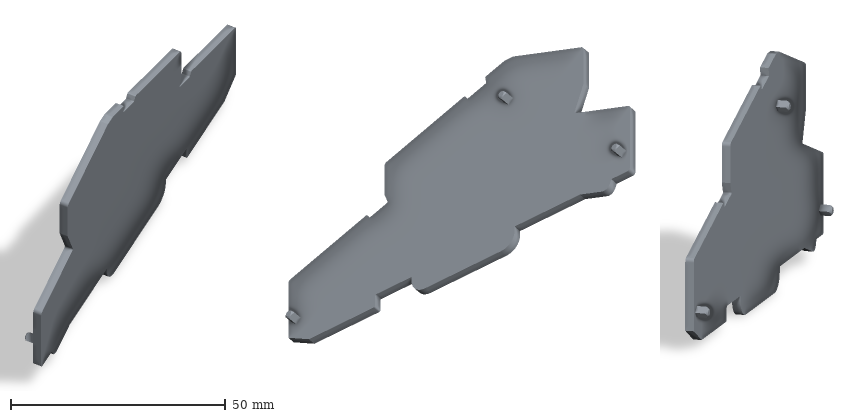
import cadquery as cq
import math

length = 100.6
height = 57.2
plate_thickness = 2.1
pin_length = 3.0

shoulder_slope = math.tan(math.radians(20))
steep_slope = math.tan(math.radians(70))
bevel_slope = math.tan(math.radians(30))

lower_notch_at = 23.1
upper_rear_at = 28.3
upper_notch_at = 51.9
peak_step_at = 57.95
peak_at = 64.9
upper_front_at = 86.9
notch_run = 0.85
notch_drop = 1.25
undercut_run_rear = 1.0
peak_step_run = 0.3
peak_step_rise = 2.0
peak_flat = 2.45

underside = 5.45
rear_block_bottom = 1.8
rear_shoulder = 22.5
front_shoulder = 24.95
upper_rear_shoulder = 43.8
upper_front_bottom = 38.5

rear_block_end = 25.5
rear_bevel_top = 5.3
foot_start = 36.3
foot_end = 66.6
latch_start = 85.8
latch_end = 95.1
latch_depth = 3.3

foot_radius = 4.0
shoulder_radius = 1.0
bottom_radius = 0.8
latch_radius = 1.8
small_radius = 0.4
notch_radius = 0.3

pin_places = [(2.35, 9.5), (64.9, 44.5), (98.2, 11.75)]
pin_side = 1.9
pin_tip_radius = 0.75


def point(distance, z):
    """Plate point (Y, Z) from the distance to the +Y end and the height."""
    return (length / 2 - distance, z)


def notched_slope(start, start_height, notch_at, end):
    """Rising shoulder with a small step down at notch_at; returns its three far corners."""
    crest = start_height + (notch_at - start) * shoulder_slope
    valley_at = notch_at + notch_run
    valley = crest - notch_drop
    end_height = valley + (end - valley_at) * shoulder_slope
    return [point(notch_at, crest), point(valley_at, valley), point(end, end_height)]


def make_plate():
    rear_top = point(0, rear_shoulder)
    undercut_at = upper_rear_at + undercut_run_rear
    lower_steps = notched_slope(0, rear_shoulder, lower_notch_at, undercut_at)
    undercut_top = lower_steps[-1][1] + undercut_run_rear * steep_slope
    upper_rear_top = point(upper_rear_at, upper_rear_shoulder)
    step_foot_at = peak_step_at + peak_step_run
    upper_steps = notched_slope(upper_rear_at, upper_rear_shoulder, upper_notch_at, step_foot_at)
    step_top = point(peak_step_at, upper_steps[-1][1] + peak_step_rise)

    peak_front_at = peak_at + peak_flat / 2
    upper_front_top = height - (upper_front_at - peak_front_at) * shoulder_slope
    upper_front_corner = point(upper_front_at, upper_front_top)

    front_rise = front_shoulder + (length - upper_front_at) * shoulder_slope
    undercut_run = (upper_front_bottom - front_rise) / (steep_slope + shoulder_slope)
    front_undercut_top = point(upper_front_at, upper_front_bottom)
    inner_corner = point(upper_front_at - undercut_run, front_rise + undercut_run * shoulder_slope)
    front_top = point(length, front_shoulder)
    front_bottom = point(length, underside)

    latch_tip_at = latch_end - latch_depth / steep_slope
    latch_tip = point(latch_tip_at, underside - (latch_tip_at - latch_start) * shoulder_slope)
    foot_front = point(foot_end, 0)
    foot_rear = point(foot_start, 0)
    slot_corner = point(rear_block_end, underside)
    block_corner = point(rear_block_end, rear_block_bottom)
    bevel_run = (rear_bevel_top - rear_block_bottom) / bevel_slope

    outline = [
        rear_top,
        *lower_steps,
        point(upper_rear_at, undercut_top),
        upper_rear_top,
        *upper_steps,
        step_top,
        point(peak_at - peak_flat / 2, height),
        point(peak_front_at, height),
        upper_front_corner,
        front_undercut_top,
        inner_corner,
        front_top,
        front_bottom,
        point(latch_end, underside),
        latch_tip,
        point(latch_start, underside),
        point(foot_end, underside),
        foot_front,
        foot_rear,
        point(foot_start, underside),
        slot_corner,
        block_corner,
        point(bevel_run, rear_block_bottom),
        point(0, rear_bevel_top),
    ]
    plate = cq.Workplane("YZ").polyline(outline).close().extrude(plate_thickness)

    rounded_corners = [
        (foot_radius, [foot_front, foot_rear]),
        (shoulder_radius, [rear_top, upper_rear_top, front_top]),
        (shoulder_radius, [upper_front_corner, front_undercut_top]),
        (latch_radius, [latch_tip]),
        (bottom_radius, [front_bottom]),
        (notch_radius, lower_steps[:2] + upper_steps[:2]),
        (small_radius, [lower_steps[-1], inner_corner, slot_corner, block_corner]),
    ]
    for radius, corners in rounded_corners:
        for y, z in corners:
            corner_edge = cq.selectors.NearestToPointSelector((plate_thickness / 2, y, z))
            plate = plate.edges("|X").edges(corner_edge).fillet(radius)
    return plate


def make_pin(distance, z):
    """Square pin on its corner, its tip trimmed by a 45 degree cone."""
    cone_base_radius = pin_tip_radius + pin_length
    cone = cq.Workplane("XY").polyline([
        (-pin_length, 0),
        (-pin_length, pin_tip_radius),
        (0, cone_base_radius),
        (0, 0),
    ]).close().revolve(360, (0, 0, 0), (1, 0, 0))
    bar = cq.Workplane("YZ").rect(pin_side, pin_side).extrude(-pin_length)
    pin = bar.rotate((0, 0, 0), (1, 0, 0), 45).intersect(cone)
    y, pin_z = point(distance, z)
    return pin.translate((0, y, pin_z))


result = make_plate()
for pin_distance, pin_height in pin_places:
    result = result.union(make_pin(pin_distance, pin_height))